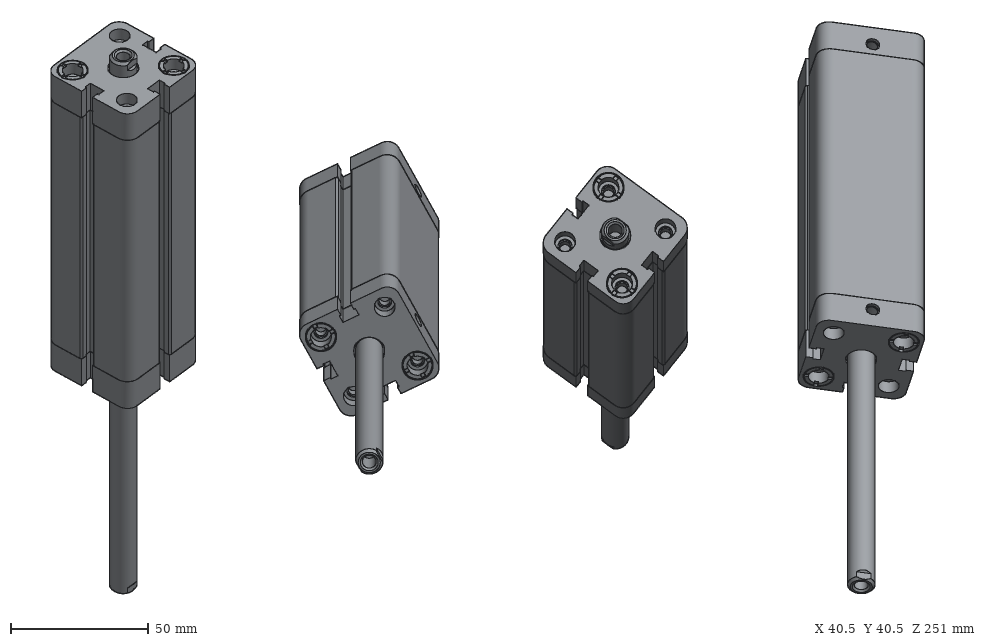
import cadquery as cq

TOTAL_LENGTH = 251.0
BARREL_WIDTH = 40.5
HOUSING_LENGTH = 139.0
ROD_TOP_REACH = 6.0
CAP_LENGTH = 12.5
HOUSING_TOP = TOTAL_LENGTH - ROD_TOP_REACH
HOUSING_BOTTOM = HOUSING_TOP - HOUSING_LENGTH
BARREL_LENGTH = HOUSING_LENGTH - 2 * CAP_LENGTH

BARREL_CORNER_RADIUS = 5.5

SLOT_ANGLES = (0, 90, -90)
SLOT_MOUTH_WIDTH = 5.3
SLOT_INNER_WIDTH = 6.5
SLOT_LIP_DEPTH = 2.8
SLOT_DEPTH = 5.5
SLOT_LEAD_IN = 0.8

CAP_WIDTH = 40.2
CAP_CORNER_RADIUS = 4.8
SCREW_OFFSET = 13.0
SCREW_HOLE_DIAMETER = 7.5
SCREW_HOLE_DEPTH = 5.0
THREAD_ENTRY_DIAMETER = 5.0
THREAD_ENTRY_DEPTH = 6.3
THREAD_CORE_DIAMETER = 4.0
THREAD_CORE_DEPTH = 10.0
COLLAR_DIAMETER = 10.5
COLLAR_GROOVE_DIAMETER = 11.3
COLLAR_GROOVE_DEPTH = 1.3
COLLAR_NOTCH_WIDTH = 1.5
COLLAR_NOTCH_DEPTH = 0.8
PORT_DIAMETER = 5.0
PORT_DEPTH = 1.3
PORT_CORE_DIAMETER = 4.0
PORT_CORE_DEPTH = 6.3
PORT_DISTANCE = 7.8
ROD_RECESS_DIAMETER = 11.3
ROD_RECESS_DEPTH = 1.3

ROD_DIAMETER = 10.0
ROD_CHAMFER = 1.0
FLAT_WIDTH = 8.5
FLAT_LENGTH = 4.0
ROD_THREAD_DIAMETER = 5.0
ROD_THREAD_DEPTH = 10.0
ROD_THREAD_CHAMFER = 0.8
ROD_THREAD_CHAMFER_ANGLE = 90


def cylinder(diameter, length, x=0, y=0, z=0):
    """Upright cylinder that starts at height z."""
    return cq.Workplane("XY", origin=(x, y, z)).circle(diameter / 2).extrude(length)


def rounded_bar(width, corner_radius, length, z):
    """Square bar with rounded upright edges."""
    bar = cq.Workplane("XY", origin=(0, 0, z)).rect(width, width).extrude(length)
    return bar.edges("|Z").fillet(corner_radius)


def slot_cutter(width, length, z, lead_in):
    """Three T-shaped slots, open at the faces of a bar of the given width."""
    face = width / 2
    lip = face - SLOT_LIP_DEPTH
    floor = face - SLOT_DEPTH
    mouth = SLOT_MOUTH_WIDTH / 2
    inner = SLOT_INNER_WIDTH / 2
    half_outline = [(floor, inner), (lip, inner), (lip, mouth)]
    if lead_in > 0:
        half_outline += [(face - lead_in, mouth), (face, mouth + lead_in)]
    else:
        half_outline += [(face, mouth)]
    mirrored = [(x, -y) for x, y in reversed(half_outline)]
    slot = cq.Workplane("XY", origin=(0, 0, z)).polyline(half_outline + mirrored).close().extrude(length)
    cutter = cq.Workplane("XY")
    for angle in SLOT_ANGLES:
        cutter = cutter.add(slot.rotate((0, 0, 0), (0, 0, 1), angle))
    return cutter.combine()


def make_barrel():
    """Extruded profile between the caps, bored for the rod."""
    bottom = HOUSING_BOTTOM + CAP_LENGTH
    barrel = rounded_bar(BARREL_WIDTH, BARREL_CORNER_RADIUS, BARREL_LENGTH, bottom)
    barrel = barrel.cut(slot_cutter(BARREL_WIDTH, BARREL_LENGTH, bottom, SLOT_LEAD_IN))
    return barrel.cut(cylinder(ROD_DIAMETER, BARREL_LENGTH, z=bottom))


def blind_hole(diameter, depth, x, y):
    """Cutter for a hole that goes down from the top of the housing."""
    return cylinder(diameter, depth, x, y, HOUSING_TOP - depth)


def collar_cutter(x, y):
    """Ring groove and crossed notches that leave a notched collar around a screw hole."""
    groove = blind_hole(COLLAR_GROOVE_DIAMETER, COLLAR_GROOVE_DEPTH, x, y)
    groove = groove.cut(blind_hole(COLLAR_DIAMETER, COLLAR_GROOVE_DEPTH, x, y))
    notch_plane = cq.Workplane("XY", origin=(x, y, HOUSING_TOP))
    for size in ((COLLAR_DIAMETER, COLLAR_NOTCH_WIDTH), (COLLAR_NOTCH_WIDTH, COLLAR_DIAMETER)):
        groove = groove.union(notch_plane.rect(*size).extrude(-COLLAR_NOTCH_DEPTH))
    return groove


def make_top_cap():
    """Upper end cap, with its outer face at the top of the housing."""
    bottom = HOUSING_TOP - CAP_LENGTH
    cap = rounded_bar(CAP_WIDTH, CAP_CORNER_RADIUS, CAP_LENGTH, bottom)
    cap = cap.cut(slot_cutter(CAP_WIDTH, CAP_LENGTH, bottom, 0))

    cap = cap.cut(cylinder(ROD_DIAMETER, CAP_LENGTH, z=bottom))
    cap = cap.cut(blind_hole(ROD_RECESS_DIAMETER, ROD_RECESS_DEPTH, 0, 0))

    for side_x in (-1, 1):
        for side_y in (-1, 1):
            x = side_x * SCREW_OFFSET
            y = side_y * SCREW_OFFSET
            cap = cap.cut(blind_hole(SCREW_HOLE_DIAMETER, SCREW_HOLE_DEPTH, x, y))
            cap = cap.cut(blind_hole(THREAD_ENTRY_DIAMETER, THREAD_ENTRY_DEPTH, x, y))
            cap = cap.cut(blind_hole(THREAD_CORE_DIAMETER, THREAD_CORE_DEPTH, x, y))
            if side_x == side_y:
                cap = cap.cut(collar_cutter(x, y))

    port_plane = cq.Workplane("YZ", origin=(-CAP_WIDTH / 2, 0, HOUSING_TOP - PORT_DISTANCE))
    cap = cap.cut(port_plane.circle(PORT_DIAMETER / 2).extrude(PORT_DEPTH))
    return cap.cut(port_plane.circle(PORT_CORE_DIAMETER / 2).extrude(PORT_CORE_DEPTH))


def make_bottom_cap():
    """Lower end cap, the mirror image of the upper one."""
    housing_middle = (HOUSING_TOP + HOUSING_BOTTOM) / 2
    return make_top_cap().mirror("XY", (0, 0, housing_middle))


def make_rod():
    """Through piston rod with spanner flats and a threaded hole at both ends."""
    rod = cylinder(ROD_DIAMETER, TOTAL_LENGTH).faces("<Z or >Z").chamfer(ROD_CHAMFER)

    half_flat = FLAT_WIDTH / 2
    shoulder = ROD_DIAMETER / 2 - half_flat
    flat_outline = [
        (half_flat, TOTAL_LENGTH),
        (half_flat, TOTAL_LENGTH - FLAT_LENGTH + shoulder),
        (half_flat + shoulder, TOTAL_LENGTH - FLAT_LENGTH),
        (half_flat + shoulder, TOTAL_LENGTH),
    ]
    flat = cq.Workplane("XZ").polyline(flat_outline).close().extrude(ROD_DIAMETER / 2, both=True)
    top_flats = flat.union(flat.mirror("YZ"))
    bottom_flats = top_flats.mirror("XY", (0, 0, TOTAL_LENGTH / 2))
    rod = rod.cut(top_flats).cut(bottom_flats)

    mouth_diameter = ROD_THREAD_DIAMETER + 2 * ROD_THREAD_CHAMFER
    for end in ("<Z", ">Z"):
        end_plane = rod.faces(end).workplane(centerOption="CenterOfBoundBox")
        rod = end_plane.cskHole(ROD_THREAD_DIAMETER, mouth_diameter, ROD_THREAD_CHAMFER_ANGLE, ROD_THREAD_DEPTH)
    return rod


barrel = make_barrel()
top_cap = make_top_cap()
bottom_cap = make_bottom_cap()
rod = make_rod()

result = cq.Compound.makeCompound([barrel.val(), top_cap.val(), bottom_cap.val(), rod.val()])